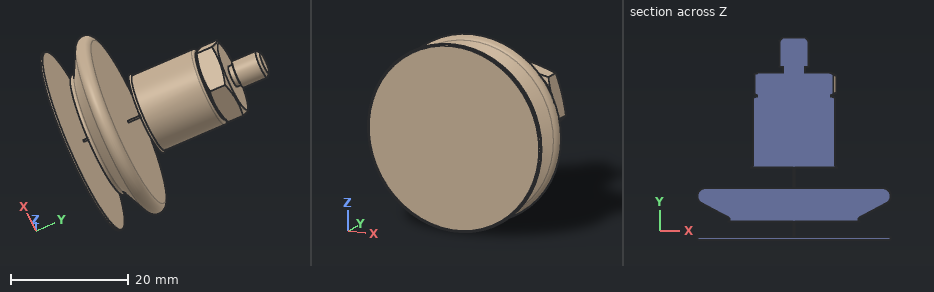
import cadquery as cq
import math

overall_length = 34.5

stud_radius = 5.0 / 2
stud_start = 29.53
stud_chamfer = 0.55
neck_radius = 3.8 / 2

hex_across_flats = 12.97
hex_corner_radius = hex_across_flats / math.sqrt(3)
hex_start = 24.6
hex_end = 28.53
hex_first_corner_angle = 45
hex_face_radius = 6.15
hex_chamfer_angle = 22

sleeve_radius = 14.0 / 2
sleeve_start = 12.35
sleeve_end = 24.43
sleeve_round = 0.4
flare_radius = 7.35
flare_length = 0.4
collar_radius = 6.28

rim_radius = 33.0 / 2
rim_round = 1.38
fold_start = 3.15
fold_end = 8.85
groove_width = 0.7
groove_radius = 11.18
groove_depth = 0.2

lip_thickness = 0.5
lip_face_radius = 16.25
lip_bevel_length = 0.1

core_radius = 0.17


def cylinder(radius, start, end):
    """Cylinder about Y between two stations."""
    return cq.Workplane("XZ", origin=(0, start, 0)).circle(radius).extrude(start - end)


def revolve_profile(profile):
    """Turn a closed (radius, Y) profile about the Y axis."""
    return profile.close().revolve(360, (0, 0, 0), (0, 1, 0))


def make_stud():
    stud = cylinder(stud_radius, stud_start, overall_length).faces(">Y").chamfer(stud_chamfer)
    return stud.union(cylinder(neck_radius, hex_end, stud_start))


def make_nut():
    corners = []
    for index in range(6):
        angle = math.radians(hex_first_corner_angle + 60 * index)
        corners.append((hex_corner_radius * math.cos(angle), hex_corner_radius * math.sin(angle)))
    prism = cq.Workplane("XZ", origin=(0, hex_start, 0)).polyline(corners).close()
    prism = prism.extrude(hex_start - hex_end)
    bevel = (hex_corner_radius - hex_face_radius) * math.tan(math.radians(hex_chamfer_angle))
    envelope = revolve_profile(
        cq.Workplane("XY")
        .moveTo(0, hex_start)
        .lineTo(hex_face_radius, hex_start)
        .lineTo(hex_corner_radius, hex_start + bevel)
        .lineTo(hex_corner_radius, hex_end - bevel)
        .lineTo(hex_face_radius, hex_end)
        .lineTo(0, hex_end)
    )
    return prism.intersect(envelope)


def make_sleeve():
    sleeve = revolve_profile(
        cq.Workplane("XY")
        .moveTo(0, sleeve_start)
        .lineTo(flare_radius, sleeve_start)
        .lineTo(sleeve_radius, sleeve_start + flare_length)
        .lineTo(sleeve_radius, sleeve_end - sleeve_round)
        .radiusArc((sleeve_radius - sleeve_round, sleeve_end), -sleeve_round)
        .lineTo(0, sleeve_end)
    )
    return sleeve.union(cylinder(collar_radius, sleeve_end, hex_start))


def make_fold():
    round_center_radius = rim_radius - rim_round
    round_center = fold_end - rim_round
    groove_end = fold_start + groove_width

    run = round_center_radius - groove_radius
    rise = round_center - groove_end
    cone_angle = math.atan2(rise, run) - math.asin(rim_round / math.hypot(run, rise))
    normal_angle = cone_angle - math.pi / 2
    tangent_radius = round_center_radius + rim_round * math.cos(normal_angle)
    tangent_station = round_center + rim_round * math.sin(normal_angle)
    return revolve_profile(
        cq.Workplane("XY")
        .moveTo(0, fold_start)
        .lineTo(groove_radius, fold_start)
        .threePointArc(
            (groove_radius - groove_depth, fold_start + groove_width / 2),
            (groove_radius, groove_end),
        )
        .lineTo(tangent_radius, tangent_station)
        .threePointArc((rim_radius, round_center), (round_center_radius, fold_end))
        .lineTo(0, fold_end)
    )


def make_lip():
    return revolve_profile(
        cq.Workplane("XY")
        .lineTo(lip_face_radius, 0)
        .lineTo(rim_radius, lip_bevel_length)
        .lineTo(rim_radius, lip_thickness)
        .lineTo(0, lip_thickness)
    )


result = cylinder(core_radius, 0, hex_start)
for section in (make_stud(), make_nut(), make_sleeve(), make_fold(), make_lip()):
    result = result.union(section)